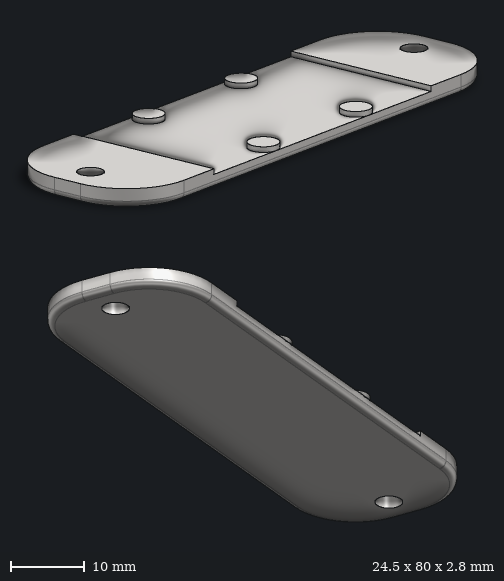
import cadquery as cq

width = 24.5
length = 80.0
thickness = 2.8
corner_radius = 10.0
bottom_fillet = 1.0

recess_length = 47.0
recess_depth = 0.8
floor_z = thickness - recess_depth

hole_diameter = 3.75
hole_end_distance = 5.0
hole_spacing = length - 2 * hole_end_distance

pad_diameter = 4.5
pad_height = recess_depth
pad_spacing_x = width - pad_diameter
pad_spacing_y = 20.0


def make_plate():
    """Rounded plate with its underside at Z = 0 and a rounded bottom edge."""
    plate = cq.Workplane("XY").box(width, length, thickness, centered=(True, True, False))
    plate = plate.edges("|Z").fillet(corner_radius)
    return plate.faces("<Z").edges().fillet(bottom_fillet)


def make_recess():
    """Block of material removed from the middle of the top face."""
    return (
        cq.Workplane("XY")
        .workplane(offset=floor_z)
        .box(width, recess_length, recess_depth, centered=(True, True, False))
    )


def make_holes():
    """Cylinders for the two through holes on the long centre line."""
    return (
        cq.Workplane("XY")
        .rarray(1, hole_spacing, 1, 2)
        .circle(hole_diameter / 2)
        .extrude(thickness)
    )


def make_pads():
    """Four round pads standing on the recess floor."""
    return (
        cq.Workplane("XY")
        .workplane(offset=floor_z)
        .rarray(pad_spacing_x, pad_spacing_y, 2, 2)
        .circle(pad_diameter / 2)
        .extrude(pad_height)
    )


result = make_plate().cut(make_recess()).cut(make_holes()).union(make_pads())